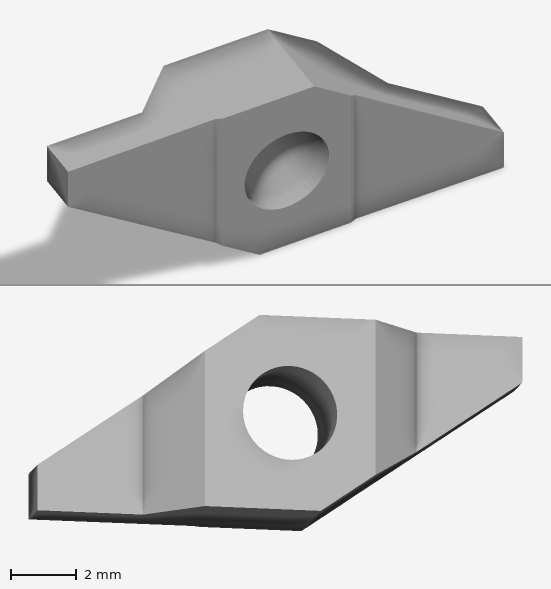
import cadquery as cq
import math

length = 15.0
height = 6.0
thickness = 3.0

tip_height = 1.41
slant_angle = 35.0

hub_half_length = 2.64
shoulder_depth = 1.59

pad_half_length = 2.2
relief_run = 0.21
relief_depth = 0.09
tip_relief_depth = 0.052

hole_diameter = 2.91

half_length = length / 2
half_height = height / 2
half_thickness = thickness / 2
slant_run = (height - tip_height) / math.tan(math.radians(slant_angle))


def side_outline():
    """Six-sided outline in YZ, extruded through the thickness along X."""
    tip_z = half_height - tip_height
    corner_y = half_length - slant_run
    points = [
        (-half_length, half_height),
        (corner_y, half_height),
        (half_length, -tip_z),
        (half_length, -half_height),
        (-corner_y, -half_height),
        (-half_length, tip_z),
    ]
    return cq.Workplane("YZ").polyline(points).close().extrude(half_thickness, both=True)


def plan_profile():
    """Profile in XY with the shoulders and relief, extruded through the height."""
    upper_half = [
        (half_thickness, pad_half_length),
        (half_thickness - relief_depth, pad_half_length + relief_run),
        (half_thickness - tip_relief_depth, half_length),
        (shoulder_depth - half_thickness, half_length),
        (shoulder_depth - half_thickness, hub_half_length + shoulder_depth),
        (-half_thickness, hub_half_length),
    ]
    lower_half = [(x, -y) for x, y in reversed(upper_half)]
    profile = cq.Workplane("XY").polyline(upper_half + lower_half).close()
    return profile.extrude(half_height, both=True)


def screw_hole():
    """Round through hole along X at the centre."""
    start = cq.Workplane("YZ", origin=(-half_thickness, 0, 0))
    return start.circle(hole_diameter / 2).extrude(thickness)


result = side_outline().intersect(plan_profile()).cut(screw_hole())